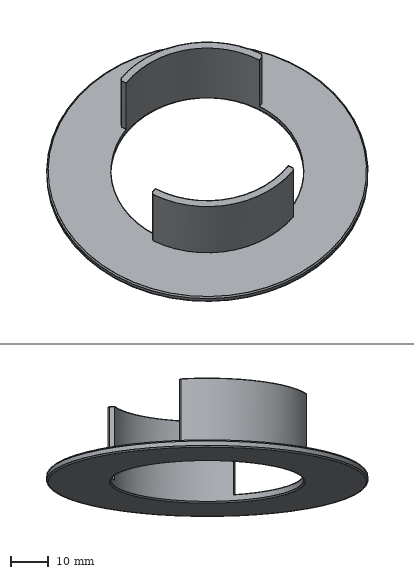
import cadquery as cq
import math

flange_diameter = 85.0
flange_thickness = 2.0
flange_edge_chamfer = 0.4
bore_diameter = 51.0
wall_thickness = 2.0
wall_height = 20.0
wall_corner_chamfer = 0.6

bore_radius = bore_diameter / 2
wall_outer_radius = bore_radius + wall_thickness
wall_middle_radius = bore_radius + wall_thickness / 2


def make_flange():
    """Flat ring chamfered around its rim on both faces and around the bore underneath."""
    disc = cq.Workplane("XY").circle(flange_diameter / 2).extrude(flange_thickness)
    disc = disc.edges(">Z").chamfer(flange_edge_chamfer)
    bore = cq.Workplane("XY").circle(bore_radius).extrude(flange_thickness)
    return disc.cut(bore).edges("<Z").chamfer(flange_edge_chamfer)


def is_outer_edge(edge):
    """True for an edge lying on the outer half of the wall thickness."""
    center = edge.Center()
    return math.hypot(center.x, center.y) > wall_middle_radius


def make_wall(x_side, y_side):
    """Quarter-turn wall above the flange in one quadrant, its outer vertical corners chamfered."""
    base = cq.Workplane("XY").workplane(offset=flange_thickness)
    tube = base.circle(wall_outer_radius).circle(bore_radius).extrude(wall_height)
    quadrant = base.rect(
        x_side * wall_outer_radius, y_side * wall_outer_radius, centered=False
    ).extrude(wall_height)
    wall = tube.intersect(quadrant)
    return wall.edges("|Z").filter(is_outer_edge).chamfer(wall_corner_chamfer)


result = make_flange()
for x_side, y_side in ((-1, 1), (1, -1)):
    result = result.union(make_wall(x_side, y_side))